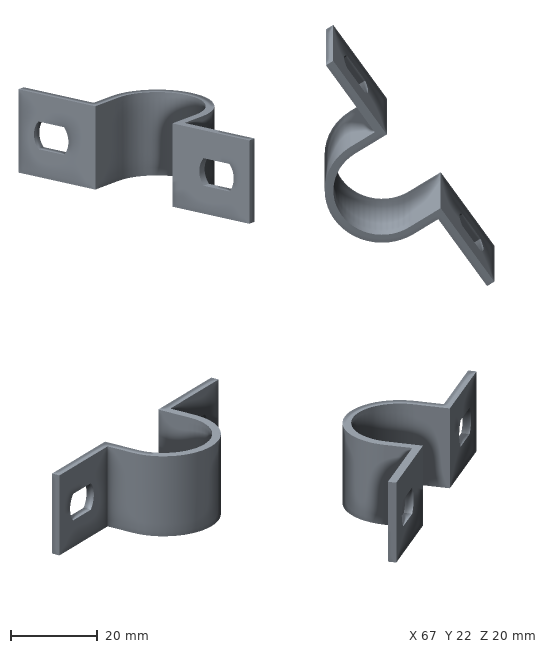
import cadquery as cq

length = 67.0
depth = 22.0
strap_width = 20.0
thickness = 2.0

inner_radius = 11.2
outer_radius = inner_radius + thickness
arch_center_y = depth - outer_radius

hole_offset = 24.0
hole_diameter = 10.0
hole_height = 6.6


def make_strap():
    """Bent strip profile, extruded across the strap width about Z = 0."""
    half_length = length / 2
    return (
        cq.Workplane("XY")
        .moveTo(-half_length, 0)
        .lineTo(-inner_radius, 0)
        .lineTo(-inner_radius, arch_center_y)
        .threePointArc((0, arch_center_y + inner_radius), (inner_radius, arch_center_y))
        .lineTo(inner_radius, 0)
        .lineTo(half_length, 0)
        .lineTo(half_length, thickness)
        .lineTo(outer_radius, thickness)
        .lineTo(outer_radius, arch_center_y)
        .threePointArc((0, depth), (-outer_radius, arch_center_y))
        .lineTo(-outer_radius, thickness)
        .lineTo(-half_length, thickness)
        .close()
        .extrude(strap_width / 2, both=True)
    )


def make_hole_cutter(center_x):
    """Cylinder along Y, trimmed to the hole height, passing through a flange."""
    cylinder = (
        cq.Workplane("XZ")
        .center(center_x, 0)
        .circle(hole_diameter / 2)
        .extrude(thickness, both=True)
    )
    trim = cq.Workplane("XY").box(hole_diameter, 2 * thickness, hole_height)
    return cylinder.intersect(trim.translate((center_x, 0, 0)))


result = make_strap()
for side in (-1, 1):
    result = result.cut(make_hole_cutter(side * hole_offset))